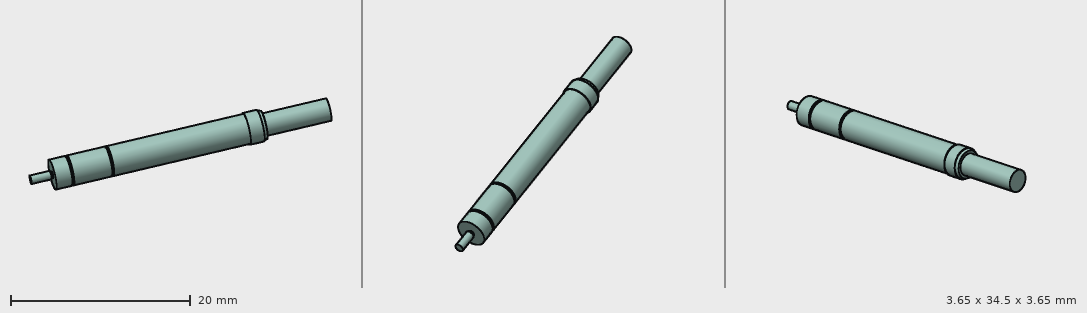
import cadquery as cq

total_length = 34.5
collar_diameter = 3.65
collar_lead_rear_diameter = 3.25
collar_lead_front_diameter = 3.52
body_diameter = 3.45
tube_diameter = 2.6
pin_diameter = 1.0
neck_diameter = 0.8

tube_length = 7.5
collar_lead_length = 0.4
collar_length = 1.6
body_length = 24.5
neck_length = 0.2

groove_depth = 0.15
groove_width = 0.25
groove_floor_width = 0.07
groove_offsets = (1.83, 6.45)

rear_y = total_length / 2
body_rear_y = rear_y - tube_length
collar_rear_y = body_rear_y - collar_lead_length
body_front_y = body_rear_y - body_length
pin_rear_y = body_front_y - neck_length
front_y = rear_y - total_length


def cylinder(diameter, start_y, end_y):
    """Solid cylinder on the Y axis from start_y forward (towards -Y) to end_y."""
    return cq.Workplane("XZ", origin=(0, start_y, 0)).circle(diameter / 2).extrude(start_y - end_y)


def ring_groove(offset):
    """Sloped-wall ring to cut from the body, starting at offset behind the body front face."""
    edge_radius = body_diameter / 2
    floor_radius = edge_radius - groove_depth
    front_edge_y = body_front_y + offset
    wall_run = (groove_width - groove_floor_width) / 2
    profile = [
        (edge_radius, front_edge_y),
        (floor_radius, front_edge_y + wall_run),
        (floor_radius, front_edge_y + groove_width - wall_run),
        (edge_radius, front_edge_y + groove_width),
    ]
    return cq.Workplane("XY").polyline(profile).close().revolve(360, (0, 0, 0), (0, 1, 0))


body = cylinder(body_diameter, collar_rear_y, body_front_y)
for groove_offset in groove_offsets:
    body = body.cut(ring_groove(groove_offset))

collar = cylinder(collar_diameter, collar_rear_y, collar_rear_y - collar_length)
collar_lead = cq.Workplane(
    cq.Solid.makeCone(
        collar_lead_front_diameter / 2,
        collar_lead_rear_diameter / 2,
        collar_lead_length,
        pnt=cq.Vector(0, collar_rear_y, 0),
        dir=cq.Vector(0, 1, 0),
    )
)

tube = cylinder(tube_diameter, rear_y, body_rear_y)
neck = cylinder(neck_diameter, body_front_y, pin_rear_y)
pin = cylinder(pin_diameter, pin_rear_y, front_y)

result = body.union(collar).union(collar_lead).union(tube).union(neck).union(pin)